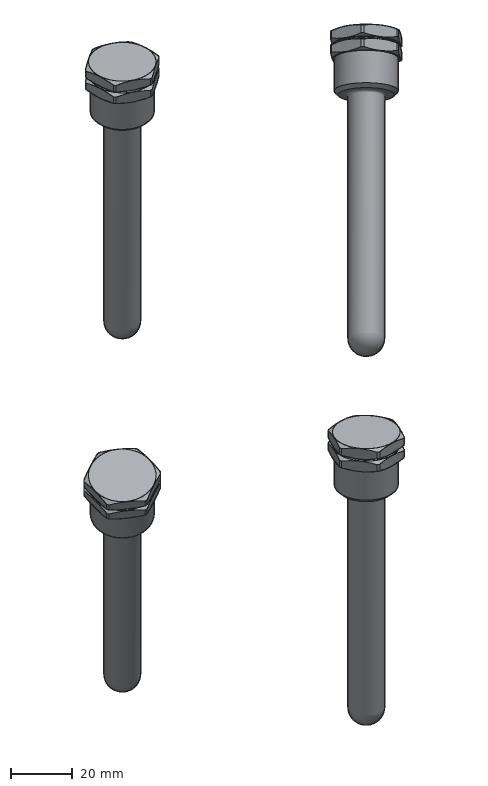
import cadquery as cq
import math

total_length = 108.0
stem_diameter = 12.0
stem_radius = stem_diameter / 2

across_flats = 22.0
across_corners = 25.0
hex_thickness = 4.0
face_circle_radius = 10.9
hex_chamfer_angle = 25.0
neck_height = 0.6
neck_radius = 10.0

body_radius = 10.4
body_height = 12.1
body_chamfer_height = 1.3
body_chamfer_width = 1.3
root_fillet = 0.8

upper_hex_base = total_length - hex_thickness
lower_hex_top = upper_hex_base - neck_height
lower_hex_base = lower_hex_top - hex_thickness
body_base = lower_hex_base - body_height


def hex_collar(base):
    """Hexagon with corners on X, coned down to a circle on both faces."""
    prism = (
        cq.Workplane("XY")
        .workplane(offset=base)
        .polygon(6, across_flats / math.cos(math.pi / 6))
        .extrude(hex_thickness)
    )
    top = base + hex_thickness
    corner_radius = across_corners / 2
    chamfer_height = (corner_radius - face_circle_radius) * math.tan(math.radians(hex_chamfer_angle))
    blank = (
        cq.Workplane("XZ")
        .moveTo(0, base)
        .lineTo(face_circle_radius, base)
        .lineTo(corner_radius, base + chamfer_height)
        .lineTo(corner_radius, top - chamfer_height)
        .lineTo(face_circle_radius, top)
        .lineTo(0, top)
        .close()
        .revolve(360, (0, 0, 0), (0, 1, 0))
    )
    return prism.intersect(blank)


def turned_core():
    """Stem, body and neck revolved as one profile."""
    tip_offset = stem_radius * math.sqrt(0.5)
    fillet_offset = root_fillet * (1 - math.sqrt(0.5))
    profile = (
        cq.Workplane("XZ")
        .moveTo(0, 0)
        .threePointArc((tip_offset, stem_radius - tip_offset), (stem_radius, stem_radius))
        .lineTo(stem_radius, body_base - root_fillet)
        .threePointArc(
            (stem_radius + fillet_offset, body_base - fillet_offset),
            (stem_radius + root_fillet, body_base),
        )
        .lineTo(body_radius - body_chamfer_width, body_base)
        .lineTo(body_radius, body_base + body_chamfer_height)
        .lineTo(body_radius, lower_hex_base)
        .lineTo(neck_radius, lower_hex_base)
        .lineTo(neck_radius, upper_hex_base)
        .lineTo(0, upper_hex_base)
        .close()
    )
    return profile.revolve(360, (0, 0, 0), (0, 1, 0))


result = turned_core()
for collar_base in (lower_hex_base, upper_hex_base):
    result = result.union(hex_collar(collar_base))